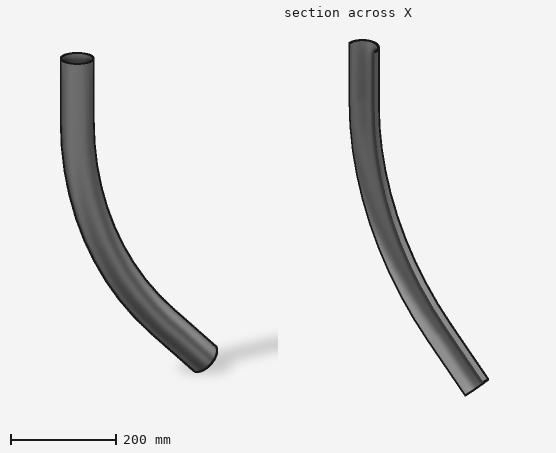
import cadquery as cq
import math

outer_diameter = 63.5
inner_diameter = 59.28
bend_radius = 609.6
bend_angle = 45.0
leg_length = 127.0


def bend_point(angle_degrees):
    """Centreline (y, z) at an angle along the bend, which starts at the origin heading down."""
    angle = math.radians(angle_degrees)
    return bend_radius * (1 - math.cos(angle)), -bend_radius * math.sin(angle)


def make_centreline():
    """Vertical leg down to the origin, bend towards +Y, then the sloping leg."""
    slope = math.radians(bend_angle)
    bend_end_y, bend_end_z = bend_point(bend_angle)
    leg_end = (
        bend_end_y + leg_length * math.sin(slope),
        bend_end_z - leg_length * math.cos(slope),
    )
    return (
        cq.Workplane("YZ")
        .moveTo(0, leg_length)
        .lineTo(0, 0)
        .threePointArc(bend_point(bend_angle / 2), (bend_end_y, bend_end_z))
        .lineTo(*leg_end)
    )


def make_tube():
    """Ring section at the top of the vertical leg, swept along the centreline."""
    return (
        cq.Workplane("XY", origin=(0, 0, leg_length))
        .circle(outer_diameter / 2)
        .circle(inner_diameter / 2)
        .sweep(make_centreline())
    )


result = make_tube()